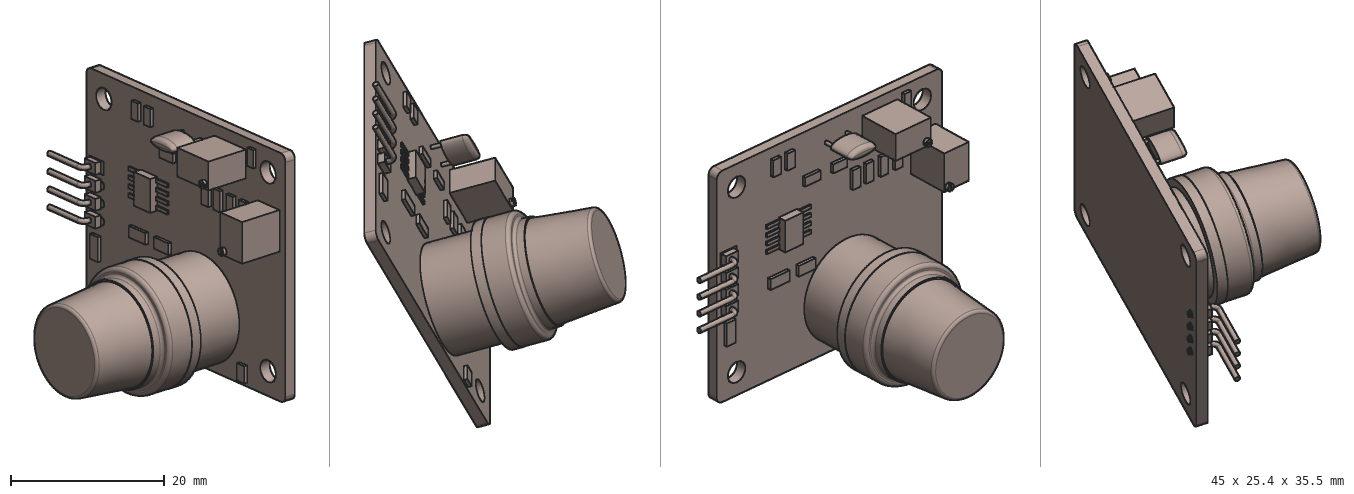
import cadquery as cq
import math


board_width = 40.0
board_height = 35.0
board_thickness = 1.6
board_corner_radius = 1.0
mount_hole_diameter = 3.05
mount_hole_spacing_x = 33.0
mount_hole_spacing_z = 28.0

chip_thickness = 0.5
top_left_chips = [(x, 14.5, 1.35, 2.55) for x in (-9.75, -7.25)]
resistor_row = [(x, 7.1, 1.35, 2.97) for x in (4.35, 6.7, 9.33, 11.9)]
single_chips = [
    (13.47, 15.2, 1.2, 2.55),
    (-3.42, 10.25, 2.75, 1.35),
    (1.45, 10.25, 2.45, 1.35),
    (-9.25, -2.8, 3.4, 1.6),
    (-4.4, -2.8, 2.97, 1.6),
    (-17.9, -7.3, 1.6, 3.5),
    (11.55, -15.73, 1.5, 2.45),
]

ic_x = -7.4
ic_z = 4.0
ic_width = 3.25
ic_height = 4.78
ic_thickness = 1.2
lead_count = 4
lead_pitch = 1.25
lead_span = 7.8
lead_width = 0.55
lead_thickness = 0.23

trimmer_depth = 6.4
screw_diameter = 1.1
screw_height = 0.55
slot_width = 0.25
slot_depth = 0.25
upper_trimmer = dict(x=8.9, z=13.8, width=6.25, height=4.05, screw_x=11.25, screw_z=12.5, slot_angle=0)
lower_trimmer = dict(x=16.63, z=6.5, width=4.35, height=5.85, screw_x=15.15, screw_z=4.2, slot_angle=90)

led_x = 1.2
led_z = 14.37
led_half_width = 2.4
led_half_height = 0.9
led_tip_half_width = 1.9
led_tip_half_height = 0.23
led_back = 1.5
led_dome_start = 4.55
led_tip = 5.3
dome_section_count = 4
leg_diameter = 0.55
leg_spacing = 3.65

pin_count = 4
pin_pitch = 2.52
pin_x = -18.3
first_pin_z = 4.2
pin_diameter = 0.75
pin_bend_radius = 0.8
pin_arm_depth = 2.05
overall_width = 45.05
pin_end_x = board_width / 2 - overall_width
pin_back_length = 0.4
pin_foot_diameter = 1.1
pin_foot_height = 0.2

collar_left = -19.25
collar_width = 2.15
collar_height = 1.65
collar_thickness = 0.95
pad_thickness = 0.05
first_pad_left = -19.38
first_pad_width = 2.9
first_pad_height = 1.9
round_pad_width = 2.85
round_pad_height = 1.15

sensor_x = 3.1
sensor_z = -9.25
tube_radius = 7.6
flange_radius = 8.8
flange_start = 7.55
cap_start = 9.05
cap_radius = 8.75
shoulder_depth = 12.98
shoulder_fillet = 0.6
neck_radius = 7.45
neck_fillet = 0.45
neck_end = 14.55
cone_start_radius = 7.2
cone_end_radius = 6.4
sensor_depth = 23.4
sensor_tip_fillet = 0.45

pin_heights = [first_pin_z - i * pin_pitch for i in range(pin_count)]


def front_plane(x, z, depth=0):
    """Workplane facing -Y, its origin the given depth in front of the board."""
    return cq.Workplane("XZ", origin=(x, -depth, z))


def front_block(x, z, width, height, thickness):
    return front_plane(x, z).rect(width, height).extrude(thickness)


def board_plate():
    plate = front_plane(0, 0).rect(board_width, board_height).extrude(-board_thickness)
    plate = plate.edges("|Y").fillet(board_corner_radius)
    holes = (
        front_plane(0, 0)
        .rect(mount_hole_spacing_x, mount_hole_spacing_z, forConstruction=True)
        .vertices()
        .circle(mount_hole_diameter / 2)
        .extrude(-board_thickness)
    )
    return plate.cut(holes)


def integrated_circuit():
    chip = front_block(ic_x, ic_z, ic_width, ic_height, ic_thickness)
    for i in range(lead_count):
        lead_z = ic_z + (i - (lead_count - 1) / 2) * lead_pitch
        chip = chip.union(front_block(ic_x, lead_z, lead_span, lead_width, lead_thickness))
    return chip


def trimmer(x, z, width, height, screw_x, screw_z, slot_angle):
    body = front_block(x, z, width, height, trimmer_depth)
    screw_top = trimmer_depth + screw_height
    screw = front_plane(screw_x, screw_z, trimmer_depth).circle(screw_diameter / 2).extrude(screw_height)
    slot = (
        front_plane(screw_x, screw_z, screw_top)
        .transformed(rotate=(0, 0, slot_angle))
        .rect(screw_diameter, slot_width)
        .extrude(-slot_depth)
    )
    return body.union(screw.cut(slot))


def led_dome_section(angle):
    """Oval slice of the LED dome: 0 is its full-size start and pi / 2 its flat tip."""
    depth = led_dome_start + (led_tip - led_dome_start) * math.sin(angle)
    half_width = led_tip_half_width + (led_half_width - led_tip_half_width) * math.cos(angle)
    half_height = led_tip_half_height + (led_half_height - led_tip_half_height) * math.cos(angle)
    return front_plane(led_x, led_z, depth).ellipse(half_width, half_height).wire().val()


def led():
    body = (
        front_plane(led_x, led_z, led_back)
        .ellipse(led_half_width, led_half_height)
        .extrude(led_dome_start - led_back)
    )
    angle_step = math.pi / 2 / (dome_section_count - 1)
    sections = [led_dome_section(i * angle_step) for i in range(dome_section_count)]
    bulb = body.union(cq.Workplane(cq.Solid.makeLoft(sections)))
    for side in (-1, 1):
        leg_x = led_x + side * leg_spacing / 2
        bulb = bulb.union(front_plane(leg_x, led_z).circle(leg_diameter / 2).extrude(led_back))
    return bulb


def pin_collars():
    collars = cq.Workplane("XZ")
    for z in pin_heights:
        collar_x = collar_left + collar_width / 2
        collars = collars.union(front_block(collar_x, z, collar_width, collar_height, collar_thickness))
    return collars


def solder_pads():
    """A square-ended pad for the first pin and round-ended pads for the others."""
    first_pad_x = first_pad_left + first_pad_width / 2
    pads = front_block(first_pad_x, first_pin_z, first_pad_width, first_pad_height, pad_thickness)
    round_pad_x = collar_left + round_pad_width / 2
    for z in pin_heights[1:]:
        pad = front_plane(round_pad_x, z).slot2D(round_pad_width, round_pad_height).extrude(pad_thickness)
        pads = pads.union(pad)
    return pads


def circuit_board():
    """Board with its soldered parts, drilled for the pins."""
    board = board_plate()
    for chip in top_left_chips + resistor_row + single_chips:
        board = board.union(front_block(*chip, chip_thickness))
    board = board.union(integrated_circuit())
    for placement in (upper_trimmer, lower_trimmer):
        board = board.union(trimmer(**placement))
    board = board.union(led())
    board = board.union(pin_collars())
    board = board.union(solder_pads())
    for z in pin_heights:
        pin_hole = (
            front_plane(pin_x, z, collar_thickness)
            .circle(pin_diameter / 2)
            .extrude(-(collar_thickness + board_thickness))
        )
        board = board.cut(pin_hole)
    return board


def bent_pin(z):
    """Round wire through the board that bends toward -X, with a flared foot on the back."""
    back_y = board_thickness + pin_back_length
    path = (
        cq.Workplane("XY", origin=(0, 0, z))
        .moveTo(pin_x, back_y)
        .lineTo(pin_x, pin_bend_radius - pin_arm_depth)
        .tangentArcPoint((-pin_bend_radius, -pin_bend_radius))
        .lineTo(pin_end_x, -pin_arm_depth)
    )
    wire = front_plane(pin_x, z, -back_y).circle(pin_diameter / 2).sweep(path)
    foot = cq.Solid.makeCone(
        pin_foot_diameter / 2,
        pin_diameter / 2,
        pin_foot_height,
        cq.Vector(pin_x, board_thickness, z),
        cq.Vector(0, 1, 0),
    )
    return wire.union(cq.Workplane(foot))


def sensor_base():
    tube = front_plane(sensor_x, sensor_z).circle(tube_radius).extrude(flange_start)
    flange = (
        front_plane(sensor_x, sensor_z, flange_start).circle(flange_radius).extrude(cap_start - flange_start)
    )
    return tube.union(flange)


def sensor_cap():
    """Revolved cap: rim, rounded shoulder, neck and tapered end."""
    profile = (
        cq.Workplane("XY", origin=(sensor_x, 0, sensor_z))
        .moveTo(0, -cap_start)
        .lineTo(cap_radius, -cap_start)
        .lineTo(cap_radius, shoulder_fillet - shoulder_depth)
        .tangentArcPoint((-shoulder_fillet, -shoulder_fillet))
        .lineTo(neck_radius + neck_fillet, -shoulder_depth)
        .tangentArcPoint((-neck_fillet, -neck_fillet))
        .lineTo(neck_radius, -neck_end)
        .lineTo(cone_start_radius, -neck_end)
        .lineTo(cone_end_radius, -sensor_depth)
        .lineTo(0, -sensor_depth)
        .close()
    )
    cap = profile.revolve(360, (0, 0), (0, 1))
    return cap.faces("<Y").edges().fillet(sensor_tip_fillet)


board = circuit_board()
base = sensor_base()
cap = sensor_cap()
pins = [bent_pin(z) for z in pin_heights]

result = cq.Compound.makeCompound(
    [board.val(), base.val(), cap.val(), *[pin.val() for pin in pins]]
)